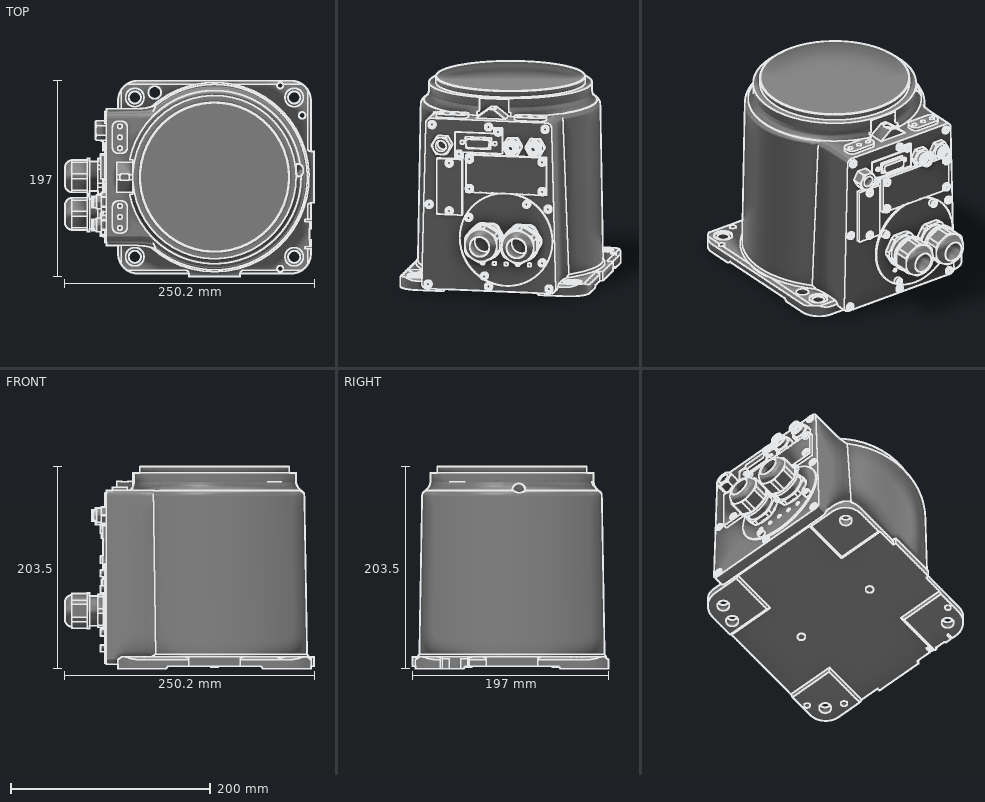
import cadquery as cq
import math


PLATE_HALF = 97.0
PLATE_TOP = 12.0
PLATE_CORNER_RADIUS = 20.5
EDGE_BEVEL_WIDTH = 3.6
EDGE_BEVEL_DROP = 2.6
RELIEF_HEIGHT = 2.5
RELIEF_HALF = 46.5
SEAT_DIAMETER = 8.0
SEAT_OFFSET = 44.5
SEAT_HEIGHT = 0.6
LOCATING_PAD_HALF = 25.8
LOCATING_PAD_REACH = 100.0
BEVEL_END_RADIUS = 3.5
MOUNT_OFFSET = 80.0
MOUNT_DIAMETER = 12.0
SPOTFACE_DIAMETER = 18.5
SPOTFACE_DEPTH = 1.5
CABLE_HOLE = (-60.0, 85.0, 12.5)
PIN_HOLES = [(66.0, 92.0, 6.0), (66.0, -92.0, 6.0), (88.0, 62.0, 6.5)]
TAG_Y_MIN, TAG_Y_MAX = -71.0, -43.7
TAG_STUB = 8.0
TAG_STUB_DROP = 2.0
TAG_FACE_X = 95.5
TAG_SLOT_WIDTH = 1.8
TAG_SLOT_X = 91.0

BODY_BOTTOM = 4.5
BODY_TOP = 179.3
RADIUS_BOTTOM = 93.3
RADIUS_TOP = 90.3
BOX_REAR_X = -108.5
BOX_HALF_BOTTOM = 68.8
BOX_HALF_TOP = 64.4
BLEND_START_X = -77.6
BLEND_END_X_BOTTOM = -58.9
BLEND_END_X_TOP = -61.4
BODY_EDGE_RADIUS = 5.3
SKIRT_RADIUS = 95.0
SKIRT_TOP = 14.5

FLANK_FOOT_RADIUS = 87.0
RING_RADIUS = 82.0
RING_BOTTOM = 187.8
RING_TOP = 197.0
CAP_RADIUS = 75.2
CAP_TOP = 203.5
CAP_CHAMFER = 0.6
SCALLOP_RADIUS = 6.5
SCALLOP_CENTRE = (83.5, 6.9, 180.0)

STOP_HALF = 15.0
STOP_CLEARANCE_HALF = 17.4
STOP_X_MIN, STOP_X_MAX = -98.3, -82.0
STOP_TOP = 188.7
STOP_CREST_HALF = 2.6
STOP_FACE_TOP = 196.3
STOP_POCKET = (9.5, 6.6, 4.0)

PAD_LENGTH = 32.3
PAD_WIDTH = 15.0
PAD_HEIGHT = 3.2
PAD_CORNER_RADIUS = 6.0
PAD_X = -95.0
PAD_Y = 40.0
PAD_HOLE_PITCH = 11.0
PAD_HOLE_DIAMETER = 4.6
PAD_HOLE_DEPTH = 8.0

PANEL_CORNER_RADIUS = 1.0
HATCH_X = -112.0
TALL_HATCH = (26.7, 52.7, 82.0, 139.0)
WIDE_HATCH = (-59.7, 22.8, 105.8, 144.1)

DSUB_PLATE = (-14.3, 34.5, 146.0, 166.5)
DSUB_PLATE_X = -109.6
DSUB_EAR_SIZE = 8.6
DSUB_EARS = [(-9.9, 168.2), (30.2, 144.2)]
DSUB_CENTRE = (10.35, 156.2)
DSUB_FLANGE = (27.6, 25.0, 11.9, 1.5)
DSUB_SHELL = (24.6, 22.6, 8.6, 2.0)
DSUB_FLANGE_X = -110.2
DSUB_SHELL_X = -114.4
DSUB_SCREW_OFFSET = 16.7
DSUB_SCREW_DIAMETER = 4.0

DISC_CENTRE = (-18.0, 58.3)
DISC_RADIUS = 47.5
DISC_X = -110.0
GLAND_OFFSET = 18.9
INDICATOR_PITCH = 12.0
INDICATOR_Z = 33.3
INDICATOR_DIAMETER = 3.8
INDICATOR_DEPTH = 1.5

BUTTON_RADIUS = 3.9
BUTTON_HEIGHT = 1.7
WIDE_HATCH_SCREW_HEIGHT = 2.6
CAP_SCREW_RADIUS = 3.6
CAP_SCREW_HEIGHT = 4.5
DSUB_SCREW_HEIGHT = 0.8
SOCKET_ACROSS_CORNERS = 4.4
SOCKET_DEPTH = 1.0
HEAD_CHAMFER = 0.3

PLUG_Z = 154.3
PLUG_Y = [-24.9, -48.1]
NUT_ACROSS_FLATS = 17.2
AIR_PORT_CENTRE = (46.8, 153.5)
AIR_PORT_X = -119.6



def rod(x_base, x_tip, y, z, radius):
    """Cylinder along X between two X positions."""
    return cq.Workplane("YZ", origin=(x_base, y, z)).circle(radius).extrude(x_tip - x_base)


def hexagon(x_base, x_tip, y, z, across_flats, clip_radius, turn=0.0):
    """Hexagonal prism along X with its corners turned down to clip_radius."""
    across_corners = across_flats / math.cos(math.pi / 6)
    prism = cq.Workplane("YZ").polygon(6, across_corners).extrude(x_tip - x_base)
    prism = prism.rotate((0, 0, 0), (1, 0, 0), turn).translate((x_base, y, z))
    return prism.intersect(rod(x_base, x_tip, y, z, clip_radius))


def rear_panel(bounds, x_base, x_tip):
    """Rectangular panel on the rear face, bounds = (y_min, y_max, z_min, z_max)."""
    y_min, y_max, z_min, z_max = bounds
    centre = (x_base, (y_min + y_max) / 2, (z_min + z_max) / 2)
    return (
        cq.Workplane("YZ", origin=centre)
        .rect(y_max - y_min, z_max - z_min)
        .extrude(x_tip - x_base)
        .edges("|X")
        .fillet(PANEL_CORNER_RADIUS)
    )


def block(x_min, x_max, y_min, y_max, z_min, z_max):
    """Axis-aligned box given by its limits."""
    size = (x_max - x_min, y_max - y_min, z_max - z_min)
    return cq.Workplane("XY").box(*size, centered=False).translate((x_min, y_min, z_min))


def vertical_hole(x, y, diameter, z_min, z_max):
    return cq.Workplane("XY", origin=(x, y, z_min)).circle(diameter / 2).extrude(z_max - z_min)



def edge_bevel(side_angle, start, end):
    """Wedge with rounded ends that bevels one top edge; side_angle turns the -Y side to the wanted side."""
    wedge = (
        cq.Workplane("YZ", origin=(start, 0, 0))
        .moveTo(-PLATE_HALF, PLATE_TOP - EDGE_BEVEL_DROP)
        .lineTo(-PLATE_HALF + EDGE_BEVEL_WIDTH, PLATE_TOP)
        .lineTo(-PLATE_HALF, PLATE_TOP)
        .close()
        .extrude(end - start)
    )
    footprint = (
        block(start, end, -PLATE_HALF, -PLATE_HALF + EDGE_BEVEL_WIDTH, 0, PLATE_TOP)
        .edges("|Z and >Y")
        .fillet(BEVEL_END_RADIUS)
    )
    return wedge.intersect(footprint).rotate((0, 0, 0), (0, 0, 1), side_angle)


def underside_relief():
    """Cross-shaped recess with 45 degree flanks that leaves four corner feet."""
    foot_edge = RELIEF_HALF + RELIEF_HEIGHT
    channel = (
        cq.Workplane("XZ", origin=(0, LOCATING_PAD_REACH, 0))
        .moveTo(-foot_edge, 0)
        .lineTo(foot_edge, 0)
        .lineTo(RELIEF_HALF, RELIEF_HEIGHT)
        .lineTo(-RELIEF_HALF, RELIEF_HEIGHT)
        .close()
        .extrude(2 * LOCATING_PAD_REACH)
    )
    return channel.union(channel.rotate((0, 0, 0), (0, 0, 1), 90))


def tag_recess():
    """Notched and stepped stretch of the +X edge, with a narrow slot at each end."""
    stub_top = PLATE_TOP - TAG_STUB_DROP
    notch = block(TAG_FACE_X, PLATE_HALF, TAG_Y_MIN + TAG_STUB, TAG_Y_MAX - TAG_STUB, 0, PLATE_TOP)
    recess = notch.union(block(TAG_FACE_X, PLATE_HALF, TAG_Y_MIN, TAG_Y_MAX, stub_top, PLATE_TOP))
    half_slot = TAG_SLOT_WIDTH / 2
    for y in (TAG_Y_MIN, TAG_Y_MAX):
        recess = recess.union(block(TAG_SLOT_X, PLATE_HALF, y - half_slot, y + half_slot, 0, PLATE_TOP))
    return recess


def base_plate():
    plate = (
        cq.Workplane("XY")
        .rect(2 * PLATE_HALF, 2 * PLATE_HALF)
        .extrude(PLATE_TOP)
        .edges("|Z")
        .fillet(PLATE_CORNER_RADIUS)
    )
    overrun = PLATE_HALF + BEVEL_END_RADIUS
    bevels = [
        (0, -overrun, -LOCATING_PAD_HALF),
        (0, LOCATING_PAD_HALF, overrun),
        (90, -overrun, TAG_Y_MIN),
        (90, TAG_Y_MAX, -LOCATING_PAD_HALF),
        (90, LOCATING_PAD_HALF, overrun),
        (180, -overrun, overrun),
        (270, -overrun, overrun),
    ]
    for side_angle, start, end in bevels:
        plate = plate.cut(edge_bevel(side_angle, start, end))
    plate = plate.cut(underside_relief())

    pad_width = (-LOCATING_PAD_HALF, LOCATING_PAD_HALF)
    plate = plate.union(block(*pad_width, -LOCATING_PAD_REACH, 0, RELIEF_HEIGHT, PLATE_TOP))
    plate = plate.union(block(0, LOCATING_PAD_REACH, *pad_width, RELIEF_HEIGHT, PLATE_TOP))

    plate = plate.cut(tag_recess())

    for y in (-SEAT_OFFSET, SEAT_OFFSET):
        plate = plate.union(vertical_hole(0, y, SEAT_DIAMETER, RELIEF_HEIGHT - SEAT_HEIGHT, PLATE_TOP))
    return plate


def plate_holes():
    holes = vertical_hole(*CABLE_HOLE, 0, PLATE_TOP)
    for x, y, diameter in PIN_HOLES:
        holes = holes.union(vertical_hole(x, y, diameter, 0, PLATE_TOP))
    for x in (-MOUNT_OFFSET, MOUNT_OFFSET):
        for y in (-MOUNT_OFFSET, MOUNT_OFFSET):
            holes = holes.union(vertical_hole(x, y, MOUNT_DIAMETER, 0, PLATE_TOP))
            holes = holes.union(
                vertical_hole(x, y, SPOTFACE_DIAMETER, PLATE_TOP - SPOTFACE_DEPTH, PLATE_TOP)
            )
    return holes



def housing_outline(z, radius, box_half, blend_end_x):
    """Plan outline: flat rear and sides, concave blends and a round front."""
    blend_end_y = math.sqrt(radius**2 - blend_end_x**2)
    return (
        cq.Workplane("XY", origin=(0, 0, z))
        .moveTo(BOX_REAR_X, box_half)
        .lineTo(BLEND_START_X, box_half)
        .tangentArcPoint((blend_end_x, blend_end_y), relative=False)
        .threePointArc((radius, 0), (blend_end_x, -blend_end_y))
        .threePointArc(blend_middle(box_half, blend_end_x, -blend_end_y), (BLEND_START_X, -box_half))
        .lineTo(BOX_REAR_X, -box_half)
        .close()
        .wires()
        .val()
    )


def blend_middle(box_half, end_x, end_y):
    """Middle point of the -Y blend arc, tangent to the box side at BLEND_START_X."""
    run = end_x - BLEND_START_X
    rise = -box_half - end_y
    arc_radius = (run**2 + rise**2) / (2 * rise)
    half_turn = math.atan2(rise, run)
    middle_x = BLEND_START_X + arc_radius * math.sin(half_turn)
    middle_y = -box_half - arc_radius * (1 - math.cos(half_turn))
    return (middle_x, middle_y)


def housing():
    lower = housing_outline(BODY_BOTTOM, RADIUS_BOTTOM, BOX_HALF_BOTTOM, BLEND_END_X_BOTTOM)
    upper = housing_outline(BODY_TOP, RADIUS_TOP, BOX_HALF_TOP, BLEND_END_X_TOP)
    body = cq.Workplane(cq.Solid.makeLoft([lower, upper], True))
    body = body.faces(">Z").edges("not <X").fillet(BODY_EDGE_RADIUS)
    body = body.faces("<Z").edges("|X").fillet(BODY_EDGE_RADIUS)
    return body


def skirt():
    """Conical flare around the foot of the housing; its upper rim runs out inside the housing wall."""
    flare_slope = (SKIRT_TOP - PLATE_TOP) / (SKIRT_RADIUS - RADIUS_BOTTOM)
    rim_radius = RADIUS_BOTTOM - 1.0
    rim_z = SKIRT_TOP + flare_slope * (RADIUS_BOTTOM - rim_radius)
    foot_radius = 80.0
    return (
        cq.Workplane("XZ")
        .moveTo(foot_radius, RELIEF_HEIGHT + SEAT_HEIGHT)
        .lineTo(SKIRT_RADIUS, RELIEF_HEIGHT + SEAT_HEIGHT)
        .lineTo(SKIRT_RADIUS, PLATE_TOP)
        .lineTo(rim_radius, rim_z)
        .lineTo(foot_radius, rim_z)
        .close()
        .revolve(360, (0, 0, 0), (0, 1, 0))
    )


def turret():
    """Concave flank, ring and cap, with a clearance beside the hard stop."""
    flank_middle = (83.6, 183.0)
    rings = (
        cq.Workplane("XZ")
        .moveTo(0, BODY_TOP - BODY_EDGE_RADIUS)
        .lineTo(FLANK_FOOT_RADIUS, BODY_TOP - BODY_EDGE_RADIUS)
        .lineTo(FLANK_FOOT_RADIUS, BODY_TOP)
        .threePointArc(flank_middle, (RING_RADIUS, RING_BOTTOM))
        .lineTo(RING_RADIUS, RING_TOP)
        .lineTo(CAP_RADIUS, RING_TOP)
        .lineTo(CAP_RADIUS, CAP_TOP - CAP_CHAMFER)
        .lineTo(CAP_RADIUS - CAP_CHAMFER, CAP_TOP)
        .lineTo(0, CAP_TOP)
        .close()
        .revolve(360, (0, 0, 0), (0, 1, 0))
    )
    clearance = block(-RADIUS_TOP, STOP_X_MAX, -STOP_CLEARANCE_HALF, STOP_CLEARANCE_HALF, BODY_TOP, RING_TOP)
    rings = rings.cut(clearance)
    return rings


def scallop():
    """Spherical pocket in the turret flank that stops at the ring."""
    pocket = cq.Workplane("XY").sphere(SCALLOP_RADIUS).translate(SCALLOP_CENTRE)
    ring_core = vertical_hole(0, 0, 2 * RING_RADIUS, 0, CAP_TOP)
    return pocket.cut(ring_core)


def hard_stop():
    """Roof-shaped stop with a pocket in its crest, and a flat pad on the ring behind it."""
    roof = (
        cq.Workplane("YZ", origin=(STOP_X_MIN, 0, 0))
        .moveTo(-STOP_HALF, BODY_TOP - 1.0)
        .lineTo(STOP_HALF, BODY_TOP - 1.0)
        .lineTo(STOP_HALF, BODY_TOP)
        .lineTo(STOP_CREST_HALF, STOP_TOP)
        .lineTo(-STOP_CREST_HALF, STOP_TOP)
        .lineTo(-STOP_HALF, BODY_TOP)
        .close()
        .extrude(STOP_X_MAX - STOP_X_MIN)
    )
    length, width, depth = STOP_POCKET
    pocket_x = (STOP_X_MIN + STOP_X_MAX) / 2
    pocket = (
        cq.Workplane("XY", origin=(pocket_x, 0, STOP_TOP - depth))
        .rect(length, width)
        .extrude(depth)
        .edges("|Z")
        .fillet(width / 3)
    )
    ring_pad = block(STOP_X_MAX, -CAP_RADIUS, -STOP_HALF, STOP_HALF, BODY_TOP - 1.0, STOP_FACE_TOP)
    return roof.cut(pocket).union(ring_pad)


def accessory_pad(y_centre):
    return (
        cq.Workplane("XY", origin=(PAD_X, y_centre, BODY_TOP))
        .rect(PAD_WIDTH, PAD_LENGTH)
        .extrude(PAD_HEIGHT)
        .edges("|Z")
        .fillet(PAD_CORNER_RADIUS)
    )


def accessory_holes(y_centre):
    top = BODY_TOP + PAD_HEIGHT
    holes = vertical_hole(PAD_X, y_centre, PAD_HOLE_DIAMETER, top - PAD_HOLE_DEPTH, top)
    for step in (-PAD_HOLE_PITCH, PAD_HOLE_PITCH):
        y = y_centre + step
        holes = holes.union(vertical_hole(PAD_X, y, PAD_HOLE_DIAMETER, top - PAD_HOLE_DEPTH, top))
    return holes



def screw(x_seat, y, z, height, radius=BUTTON_RADIUS):
    """Screw head with a hexagon socket, standing on the plane x_seat."""
    x_tip = x_seat - height
    body = rod(x_seat, x_tip, y, z, radius).faces("<X").chamfer(HEAD_CHAMFER)
    socket = (
        cq.Workplane("YZ", origin=(x_tip, y, z))
        .polygon(6, SOCKET_ACROSS_CORNERS)
        .extrude(SOCKET_DEPTH)
    )
    return body.cut(socket)


def rear_face_screws():
    """Three screws along the top and bottom of the rear face and one midway on each side."""
    places = [
        (57.9, 173.0), (0, 173.0), (-57.9, 173.0),
        (60.9, 91.2), (-60.9, 91.2),
        (62.0, 9.4), (0, 9.4), (-62.0, 9.4),
    ]
    return [screw(BOX_REAR_X, y, z, BUTTON_HEIGHT) for y, z in places]


def hatches():
    tall = rear_panel(TALL_HATCH, BOX_REAR_X, HATCH_X)
    wide = rear_panel(WIDE_HATCH, BOX_REAR_X, HATCH_X)
    parts = [tall, wide]

    tall_middle_y = (TALL_HATCH[0] + TALL_HATCH[1]) / 2
    edge_distance = 4.0
    for z in (TALL_HATCH[2] + edge_distance, TALL_HATCH[3] - edge_distance):
        parts.append(screw(HATCH_X, tall_middle_y, z, BUTTON_HEIGHT))
    for y in (WIDE_HATCH[0] + edge_distance, WIDE_HATCH[1] - edge_distance):
        for z in (WIDE_HATCH[2] + edge_distance, WIDE_HATCH[3] - edge_distance):
            parts.append(screw(HATCH_X, y, z, WIDE_HATCH_SCREW_HEIGHT))
    return parts


def dsub_trapezoid(top_width, bottom_width, height, corner_radius, x_tip):
    y, z = DSUB_CENTRE
    return (
        cq.Workplane("YZ", origin=(BOX_REAR_X, y, z))
        .moveTo(-top_width / 2, height / 2)
        .lineTo(top_width / 2, height / 2)
        .lineTo(bottom_width / 2, -height / 2)
        .lineTo(-bottom_width / 2, -height / 2)
        .close()
        .extrude(x_tip - BOX_REAR_X)
        .edges("|X")
        .fillet(corner_radius)
    )


def dsub_connector():
    """D-shaped connector on a plate with two screwed ears at opposite corners."""
    plate = rear_panel(DSUB_PLATE, BOX_REAR_X, DSUB_PLATE_X)
    half = DSUB_EAR_SIZE / 2
    for y, z in DSUB_EARS:
        plate = plate.union(rear_panel((y - half, y + half, z - half, z + half), BOX_REAR_X, DSUB_PLATE_X))
        plate = plate.union(screw(DSUB_PLATE_X, y, z, DSUB_SCREW_HEIGHT))
    plate = plate.union(dsub_trapezoid(*DSUB_FLANGE, DSUB_FLANGE_X))
    plate = plate.union(dsub_trapezoid(*DSUB_SHELL, DSUB_SHELL_X))
    y_centre, z_centre = DSUB_CENTRE
    for step in (-DSUB_SCREW_OFFSET, DSUB_SCREW_OFFSET):
        hole = rod(DSUB_PLATE_X, BOX_REAR_X, y_centre + step, z_centre, DSUB_SCREW_DIAMETER / 2)
        plate = plate.cut(hole)
    return plate


def round_plug(y):
    """Round connector: hexagon nut, collar and a grooved threaded nose with a blind bore."""
    hex_x, collar_x, thread_x, groove_x, tip_x = -113.6, -118.8, -121.0, -122.2, -123.2
    clip_radius, collar_radius, thread_radius, core_radius, bore_radius = 9.7, 7.0, 5.8, 4.2, 3.0
    collar_chamfer = 0.6
    body = hexagon(BOX_REAR_X, hex_x, y, PLUG_Z, NUT_ACROSS_FLATS, clip_radius)
    collar = rod(hex_x, collar_x, y, PLUG_Z, collar_radius).faces("<X").chamfer(collar_chamfer)
    body = body.union(collar)
    body = body.union(rod(collar_x, thread_x, y, PLUG_Z, thread_radius))
    body = body.union(rod(thread_x, groove_x, y, PLUG_Z, core_radius))
    body = body.union(rod(groove_x, tip_x, y, PLUG_Z, thread_radius))
    return body.cut(rod(tip_x, collar_x, y, PLUG_Z, bore_radius))


def air_port():
    """Hexagonal port with a blind bore."""
    y, z = AIR_PORT_CENTRE
    bore_radius = 5.4
    clip_radius, nose_chamfer = 9.9, 1.3
    body = hexagon(BOX_REAR_X, AIR_PORT_X, y, z, NUT_ACROSS_FLATS, clip_radius)
    nose = rod(BOX_REAR_X, AIR_PORT_X, y, z, clip_radius).faces("<X").chamfer(nose_chamfer)
    body = body.intersect(nose)
    return body.cut(rod(AIR_PORT_X, BOX_REAR_X, y, z, bore_radius))


def cable_gland(y):
    """Hex base, neck, collar and truncated-hexagon cap nut with a domed, bored end."""
    z = DISC_CENTRE[1]
    base_x, neck_x, collar_x, nut_x, dome_x, tip_x = -111.6, -117.0, -125.4, -128.0, -143.3, -150.2
    neck_radius, base_radius, collar_radius, nut_radius = 15.0, 18.0, 18.1, 17.6
    base_across_flats, nut_across_flats = 33.2, 32.6
    corner_up = 30.0
    bore_radius, bore_depth, rim_width = 9.9, 25.0, 0.3
    dome_middle = (-147.6, 14.3)

    body = rod(DISC_X, base_x, y, z, neck_radius)
    body = body.union(hexagon(base_x, neck_x, y, z, base_across_flats, base_radius))
    body = body.union(rod(neck_x, collar_x, y, z, neck_radius))
    body = body.union(rod(collar_x, nut_x, y, z, collar_radius))
    dome = (
        cq.Workplane("XY")
        .moveTo(dome_x, 0)
        .lineTo(dome_x, nut_across_flats / 2)
        .threePointArc(dome_middle, (tip_x, bore_radius + rim_width))
        .lineTo(tip_x, 0)
        .close()
        .revolve(360, (0, 0, 0), (1, 0, 0))
        .translate((0, y, z))
    )
    body = body.union(hexagon(nut_x, dome_x, y, z, nut_across_flats, nut_radius, corner_up))
    body = body.union(dome)
    return body.cut(rod(tip_x, tip_x + bore_depth, y, z, bore_radius))


def gland_disc():
    """Round gland carrier with a row of indicator holes."""
    y_centre, z_centre = DISC_CENTRE
    disc = rod(BOX_REAR_X, DISC_X, y_centre, z_centre, DISC_RADIUS)
    for index in range(-2, 3):
        y = y_centre + index * INDICATOR_PITCH
        disc = disc.cut(rod(DISC_X, DISC_X + INDICATOR_DEPTH, y, INDICATOR_Z, INDICATOR_DIAMETER / 2))
    return disc


def gland_disc_screws():
    y_centre, z_centre = DISC_CENTRE
    pitch_radius = 43.5
    first_angle = 30.0
    screws = []
    for index in range(4):
        angle = math.radians(first_angle + 90 * index)
        y = y_centre + pitch_radius * math.cos(angle)
        z = z_centre + pitch_radius * math.sin(angle)
        screws.append(screw(DISC_X, y, z, CAP_SCREW_HEIGHT, CAP_SCREW_RADIUS))
    return screws



def build():
    disc_y = DISC_CENTRE[0]
    solids = [skirt(), housing(), turret(), hard_stop(), gland_disc(), dsub_connector(), air_port()]
    solids += [accessory_pad(y) for y in (-PAD_Y, PAD_Y)]
    solids += [round_plug(y) for y in PLUG_Y]
    solids += [cable_gland(disc_y + step) for step in (-GLAND_OFFSET, GLAND_OFFSET)]
    solids += hatches()
    solids += rear_face_screws()
    solids += gland_disc_screws()
    part = base_plate().val().fuse(*[solid.val() for solid in solids])

    pockets = [scallop(), plate_holes()]
    pockets += [accessory_holes(y) for y in (-PAD_Y, PAD_Y)]
    part = part.cut(*[pocket.val() for pocket in pockets])
    return cq.Workplane(part.clean())


result = build()